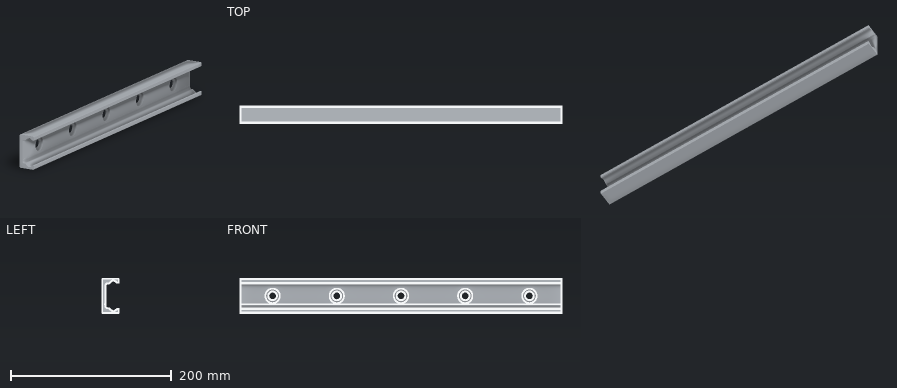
import cadquery as cq

length = 400.0
depth = 21.0
height = 43.0

web_thickness = 4.5
ledge_thickness = 6.2
ledge_end = 8.5
race_apex = 14.0
race_apex_thickness = 1.6
race_radius = 3.5
lip_thickness = 5.3
lip_start = 19.0
corner_radius = 2.2
outer_chamfer = 1.0
lip_chamfer = 0.4

groove_from_bottom = 11.0
groove_width = 0.5
groove_depth = 0.8

hole_count = 5
hole_pitch = 80.0
hole_diameter = 10.5
seat_diameter = 18.0
seat_depth = 3.1

back_y = depth / 2
web_y = back_y - web_thickness


def edge_near(y, z):
    """Selector for the lengthwise edge at the given place in the section."""
    return cq.selectors.NearestToPointSelector((0, y, z))


def rail_body():
    """C-shaped rail, open towards -Y, with a raceway in each flange."""
    flange_steps = [
        (web_thickness, ledge_thickness),
        (ledge_end, ledge_thickness),
        (race_apex, race_apex_thickness),
        (lip_start, lip_thickness),
        (depth, lip_thickness),
    ]
    upper = [(back_y - run, height / 2 - thickness) for run, thickness in flange_steps]
    lower = [(y, -z) for y, z in reversed(upper)]
    outer_lower = [(-depth / 2, -height / 2), (back_y, -height / 2)]
    outer_upper = [(back_y, height / 2), (-depth / 2, height / 2)]
    outline = outer_upper + upper[::-1] + lower[::-1] + outer_lower
    body = cq.Workplane("YZ").polyline(outline).close().extrude(length / 2, both=True)
    rounded_edges = [
        (web_thickness, ledge_thickness, corner_radius),
        (race_apex, race_apex_thickness, race_radius),
    ]
    for run, thickness, radius in rounded_edges:
        for side in (1, -1):
            edge = edge_near(back_y - run, side * (height / 2 - thickness))
            body = body.edges(edge).fillet(radius)
    for y in (-depth / 2, back_y):
        for z in (-height / 2, height / 2):
            body = body.edges(edge_near(y, z)).chamfer(outer_chamfer)
    for z in (lip_thickness - height / 2, height / 2 - lip_thickness):
        body = body.edges(edge_near(-depth / 2, z)).chamfer(lip_chamfer)
    return body


def marking_groove():
    """V-shaped groove running the full length of the web."""
    center_z = groove_from_bottom - height / 2
    points = [
        (web_y, center_z - groove_width / 2),
        (web_y + groove_depth, center_z),
        (web_y, center_z + groove_width / 2),
    ]
    return cq.Workplane("YZ").polyline(points).close().extrude(length / 2, both=True)


def hole_row(diameter, start_y, reach):
    """Row of cylinders along the rail, running from start_y towards -Y."""
    row = cq.Workplane("XZ", origin=(0, start_y, 0)).rarray(hole_pitch, 1, hole_count, 1)
    return row.circle(diameter / 2).extrude(reach)


def screw_holes():
    """Through holes, each with a flat counterbore in the inner face of the web."""
    bores = hole_row(hole_diameter, back_y, web_thickness)
    seats = hole_row(seat_diameter, web_y + seat_depth, seat_depth)
    return bores.union(seats)


result = rail_body().cut(marking_groove()).cut(screw_holes())